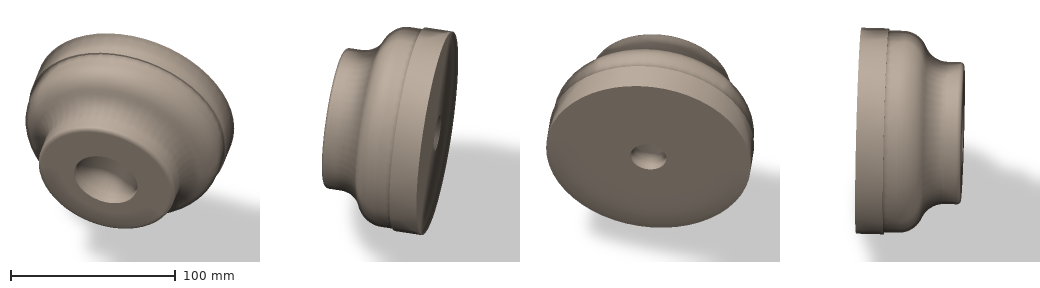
import cadquery as cq
import math

rim_radius = 62.5
body_radius = 61.2
neck_radius = 43.1
bore_radius = 20.0
through_hole_radius = 11.0

total_length = 63.0
rim_length = 16.8
body_end = 25.6
bore_depth = 50.0

sweep_radius = 15.0
edge_fillet = 2.5

half_drop = (body_radius - neck_radius) / 2
half_run = math.sqrt(sweep_radius**2 - (sweep_radius - half_drop)**2)
arc_joint = (body_radius - half_drop, -body_end - half_run)
neck_start = body_end + 2 * half_run

outer_body = (
    cq.Workplane("XY")
    .moveTo(0, 0)
    .lineTo(rim_radius, 0)
    .lineTo(rim_radius, -rim_length)
    .lineTo(body_radius, -rim_length)
    .lineTo(body_radius, -body_end)
    .radiusArc(arc_joint, sweep_radius)
    .radiusArc((neck_radius, -neck_start), -sweep_radius)
    .lineTo(neck_radius, -total_length)
    .lineTo(0, -total_length)
    .close()
    .revolve(360, (0, 0, 0), (0, 1, 0))
)

outer_body = outer_body.faces("<Y").edges().fillet(edge_fillet)

result = (
    outer_body.faces("<Y")
    .workplane(centerOption="CenterOfBoundBox")
    .cboreHole(2 * through_hole_radius, 2 * bore_radius, bore_depth)
)